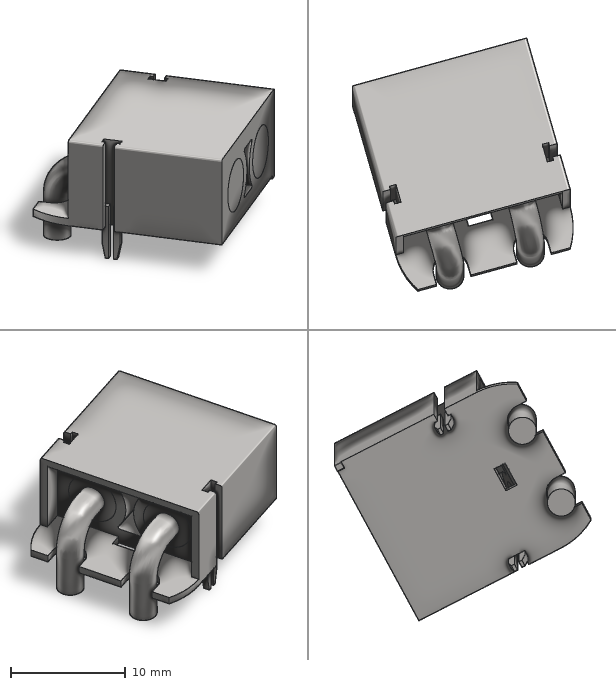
import cadquery as cq
import math


LENGTH = 17.6
WIDTH = 15.9
HEIGHT = 8.18
FLANGE_LENGTH = 3.52
WALL = 0.7
RECESS_DEPTH = 1.85
EDGE_RADIUS = 0.23

FLANGE_TIP_HALF_WIDTH = 6.93
NOTCH_WIDTH = 3.12
NOTCH_DEPTH = 2.5

LEAD_DIAMETER = 2.45
LEAD_DROP = 3.01
LEAD_SPACING = 7.32
BEND_RADIUS = 2.95
PLUG_DIAMETER = 4.75
PLUG_SPACING = 7.5
PLUG_Z = 3.92

OPENING_WIDTH = 2.3
OPENING_HEIGHT = 4.68
OPENING_SIDE_RADIUS = 3.36
OPENING_CORNER_RADIUS = 0.18

FLOOR_WINDOW_LENGTH = 1.1
FLOOR_WINDOW_WIDTH = 2.22

SLOT_X = 7.23
SLOT_MOUTH_WIDTH = 1.04
SLOT_LIP = 0.7
PRONG_SPAN = 1.64
PRONG_THICKNESS = 0.58
PRONG_GAP = 0.44
PRONG_TIP_SPAN = 1.05
PRONG_TOP_Z = 2.0
PRONG_TAPER_Z = -1.58

FOOT_LENGTH = 0.67
FOOT_WIDTH = 0.6
FOOT_HEIGHT = 0.28

HALF_WIDTH = WIDTH / 2
RECESS_BACK_X = FLANGE_LENGTH + RECESS_DEPTH
LEAD_X = LEAD_DIAMETER / 2
LEAD_Y = LEAD_SPACING / 2
PLUG_Y = PLUG_SPACING / 2
SIDES = (-1, 1)


def box(x_range, y_range, z_range):
    """Box between the given limits along each axis."""
    size = [high - low for low, high in (x_range, y_range, z_range)]
    corner = (x_range[0], y_range[0], z_range[0])
    return cq.Workplane("XY").box(*size, centered=False).translate(corner)


def side_box(x_range, side, y_range, z_range):
    """Box on one side of the symmetry plane, with y_range given as distances from that plane."""
    return box(x_range, sorted(side * y for y in y_range), z_range)


def x_cylinder(diameter, x_range, y, z):
    """Cylinder along X."""
    start = cq.Plane(origin=(x_range[0], y, z), xDir=(0, 1, 0), normal=(1, 0, 0))
    return cq.Workplane(start).circle(diameter / 2).extrude(x_range[1] - x_range[0])



def make_block():
    """Main block with rounded top edges and the recess in its front face."""
    block = box((FLANGE_LENGTH, LENGTH), (-HALF_WIDTH, HALF_WIDTH), (0, HEIGHT))
    block = block.edges("|X and >Z").fillet(EDGE_RADIUS)
    recess_half_width = HALF_WIDTH - WALL
    recess = box(
        (FLANGE_LENGTH, RECESS_BACK_X), (-recess_half_width, recess_half_width), (WALL, HEIGHT - WALL)
    )
    return block.cut(recess)


def make_flange():
    """Floor plate in front of the block: curved outer corners and a round-ended notch around each lead."""
    inset = HALF_WIDTH - FLANGE_TIP_HALF_WIDTH
    corner_radius = (FLANGE_LENGTH**2 + inset**2) / (2 * inset)
    half_angle = math.asin(FLANGE_LENGTH / corner_radius) / 2
    mid_x = FLANGE_LENGTH - corner_radius * math.sin(half_angle)
    mid_y = HALF_WIDTH - corner_radius * (1 - math.cos(half_angle))
    flange = (
        cq.Workplane("XY")
        .moveTo(FLANGE_LENGTH, -HALF_WIDTH)
        .lineTo(FLANGE_LENGTH, HALF_WIDTH)
        .threePointArc((mid_x, mid_y), (0, FLANGE_TIP_HALF_WIDTH))
        .lineTo(0, -FLANGE_TIP_HALF_WIDTH)
        .threePointArc((mid_x, -mid_y), (FLANGE_LENGTH, -HALF_WIDTH))
        .close()
        .extrude(WALL)
    )
    notch_radius = NOTCH_WIDTH / 2
    notch_end_x = NOTCH_DEPTH - notch_radius
    for side in SIDES:
        y = side * LEAD_Y
        round_end = cq.Workplane("XY").center(notch_end_x, y).circle(notch_radius).extrude(WALL)
        entry = box((0, notch_end_x), (y - notch_radius, y + notch_radius), (0, WALL))
        flange = flange.cut(round_end).cut(entry)
    return flange


def make_hourglass_opening():
    """Through opening centred on the plug height, with its sides curved around the plug axes."""
    half_width = OPENING_WIDTH / 2
    half_height = OPENING_HEIGHT / 2
    x_range = (RECESS_BACK_X, LENGTH)
    opening = box(x_range, (-half_width, half_width), (PLUG_Z - half_height, PLUG_Z + half_height))
    opening = opening.edges("|X").fillet(OPENING_CORNER_RADIUS)
    for side in SIDES:
        opening = opening.cut(x_cylinder(2 * OPENING_SIDE_RADIUS, x_range, side * PLUG_Y, PLUG_Z))
    return opening


def make_floor_window():
    """Rectangular opening through the floor."""
    half_width = FLOOR_WINDOW_WIDTH / 2
    return box(
        (RECESS_BACK_X - FLOOR_WINDOW_LENGTH, RECESS_BACK_X), (-half_width, half_width), (0, WALL)
    )


def make_t_slot(side):
    """Full-height T-slot in one side: narrow mouth outside, wide channel behind the lips."""
    mouth_x = (SLOT_X - SLOT_MOUTH_WIDTH / 2, SLOT_X + SLOT_MOUTH_WIDTH / 2)
    channel_x = (SLOT_X - PRONG_SPAN / 2, SLOT_X + PRONG_SPAN / 2)
    channel_y = HALF_WIDTH - SLOT_LIP
    mouth = side_box(mouth_x, side, (channel_y, HALF_WIDTH), (0, HEIGHT))
    channel = side_box(channel_x, side, (channel_y - PRONG_THICKNESS, channel_y), (0, HEIGHT))
    return mouth.union(channel)


def make_foot():
    """Small pad under the rear corner on the +Y side."""
    return box((LENGTH - FOOT_LENGTH, LENGTH), (HALF_WIDTH - FOOT_WIDTH, HALF_WIDTH), (-FOOT_HEIGHT, 0))


def make_housing():
    housing = make_block().union(make_flange()).union(make_foot())
    housing = housing.cut(make_hourglass_opening()).cut(make_floor_window())
    for side in SIDES:
        plug_hole = x_cylinder(PLUG_DIAMETER, (RECESS_BACK_X, LENGTH), side * PLUG_Y, PLUG_Z)
        housing = housing.cut(plug_hole).cut(make_t_slot(side))
    return housing



def make_lead(side):
    """Plug along X whose round lead comes out of the recess wall and bends down to the board."""
    plug_y = side * PLUG_Y
    lead_y = side * LEAD_Y
    bend_start_x = LEAD_X + BEND_RADIUS
    bend_end_z = PLUG_Z - BEND_RADIUS

    plug = x_cylinder(PLUG_DIAMETER, (RECESS_BACK_X, LENGTH), plug_y, PLUG_Z)
    stub = x_cylinder(LEAD_DIAMETER, (bend_start_x, RECESS_BACK_X), plug_y, PLUG_Z)
    tail = (
        cq.Workplane("XY", origin=(LEAD_X, lead_y, -LEAD_DROP))
        .circle(LEAD_DIAMETER / 2)
        .extrude(LEAD_DROP + bend_end_z)
    )

    rise = BEND_RADIUS * math.sin(math.pi / 4)
    bend_path = cq.Workplane("XY").spline(
        [
            (LEAD_X, lead_y, bend_end_z),
            (bend_start_x - rise, (plug_y + lead_y) / 2, bend_end_z + rise),
            (bend_start_x, plug_y, PLUG_Z),
        ],
        tangents=[(0, 0, 1), (1, 0, 0)],
    )
    bend = (
        cq.Workplane("XY", origin=(LEAD_X, lead_y, bend_end_z))
        .circle(LEAD_DIAMETER / 2)
        .sweep(bend_path)
    )
    return plug.union(stub).union(bend).union(tail)



def make_prong(side, end):
    """One tapered prong in a T-slot; end is -1 for the front of the slot and 1 for its rear."""
    inner_x = SLOT_X + end * PRONG_GAP / 2
    outer_x = SLOT_X + end * PRONG_SPAN / 2
    tip_x = SLOT_X + end * PRONG_TIP_SPAN / 2
    outer_y = HALF_WIDTH - SLOT_LIP
    mid_y = side * (outer_y - PRONG_THICKNESS / 2)
    return (
        cq.Workplane("XZ", origin=(0, mid_y, 0))
        .polyline(
            [
                (inner_x, PRONG_TOP_Z),
                (outer_x, PRONG_TOP_Z),
                (outer_x, PRONG_TAPER_Z),
                (tip_x, -LEAD_DROP),
                (inner_x, -LEAD_DROP),
            ]
        )
        .close()
        .extrude(PRONG_THICKNESS / 2, both=True)
    )


housing = make_housing()
leads = [make_lead(side) for side in SIDES]
prongs = [make_prong(side, end) for side in SIDES for end in (-1, 1)]

result = cq.Compound.makeCompound(
    [body.solids().val() for body in (housing, *leads, *prongs)]
)